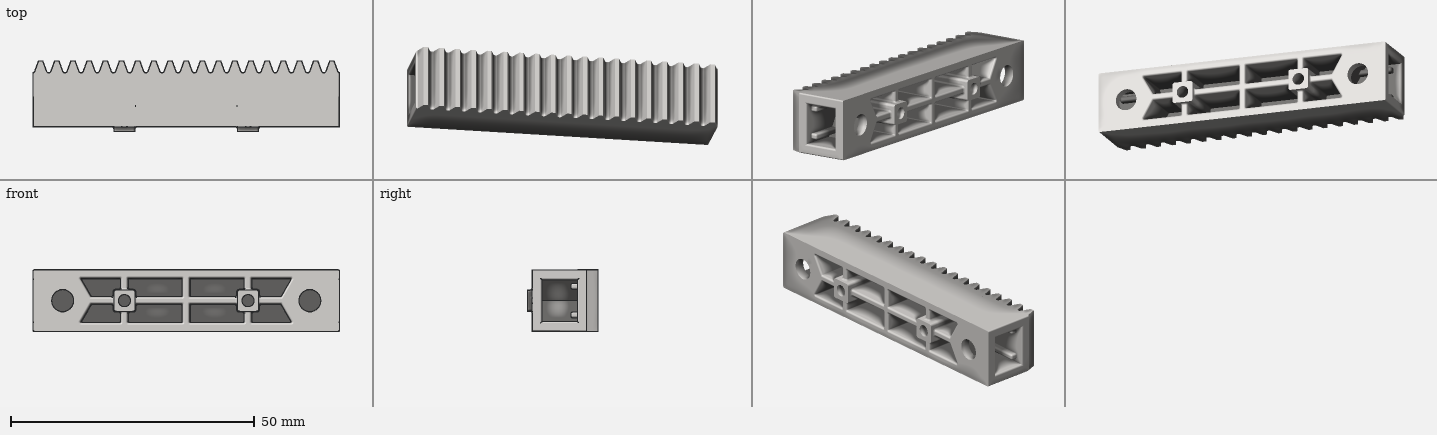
import cadquery as cq
import math

LENGTH = 63.0
HEIGHT = 12.7
BOSS_PROTRUSION = 0.95
OVERALL_DEPTH = 14.53
TOOTH_TIP_Y = OVERALL_DEPTH - BOSS_PROTRUSION
PARTING_Y = 9.7
BODY_DRAFT = 0.15
EDGE_RADIUS = 0.3

DIAMETRAL_PITCH = 24
MODULE = 25.4 / DIAMETRAL_PITCH
PITCH = math.pi * MODULE
PRESSURE_ANGLE = math.radians(20)
TOOTH_COUNT = 19
TOOTH_DEPTH = 2.3 * MODULE
TIP_WIDTH = PITCH / 2 - 2 * MODULE * math.tan(PRESSURE_ANGLE)
ROOT_RADIUS = 0.4
ROOT_Y = TOOTH_TIP_Y - TOOTH_DEPTH

MOUTH_RADIUS = 0.38
NEARLY_PARALLEL = 0.99
WALL = 1.71
RIB_WIDTH = 1.33
POCKET_DEPTH = 9.3
POCKET_DRAFT = 1.0
POCKET_CORNER_RADIUS = 0.2
POCKET_TOP = HEIGHT / 2 - WALL
POCKET_APEX_X = 19.2
SLANT_ANGLE = math.radians(30)
SLANT = math.tan(SLANT_ANGLE)

BOSS_X = 12.7
BOSS_SIZE = 4.36
BOSS_DRAFT = 1.0
BOSS_CORNER_RADIUS = 0.45
BOSS_HOLE_DIAMETER = 2.5
JOINT_RADIUS = 0.38
JOINT_REACH = 0.85

CAVITY_WALL = 2.09
CAVITY_BACK_Y = POCKET_DEPTH
CAVITY_HEIGHT = HEIGHT - 2 * CAVITY_WALL
SLANTED_WALL = 1.7
CAVITY_APEX_X = POCKET_APEX_X + SLANTED_WALL / math.cos(SLANT_ANGLE)
CAVITY_RIB_Z = 2.93
CAVITY_RIB_WIDTH = 1.2
CAVITY_RIB_DEPTH = 1.33
CAVITY_RIB_RADIUS = 0.4
CAVITY_RIB_START = 1.7

MOUNT_X = 25.4
MOUNT_DIAMETER = 4.5


def y_plane(y, facing=1):
    """Plane at the given Y with local x along X and its normal along +Y (1) or -Y (-1)."""
    return cq.Workplane(cq.Plane((0, y, 0), xDir=(1, 0, 0), normal=(0, facing, 0)))


def make_body():
    """Solid block: a front part that narrows toward Y = 0 and a back part with the rack teeth."""
    front = (
        y_plane(PARTING_Y, facing=-1)
        .rect(LENGTH, HEIGHT)
        .extrude(PARTING_Y, taper=BODY_DRAFT)
        .edges("not (|X or |Z)")
        .fillet(EDGE_RADIUS)
    )
    back = y_plane(PARTING_Y).rect(LENGTH, HEIGHT).extrude(TOOTH_TIP_Y - PARTING_Y)
    back = back.edges("|Y").fillet(EDGE_RADIUS)
    for i in range(TOOTH_COUNT + 1):
        back = back.cut(make_tooth_gap((i - TOOTH_COUNT / 2) * PITCH))
    return front.union(back)


def make_tooth_gap(x):
    """Space between two teeth, with rounded roots."""
    half_root = PITCH / 2 - TIP_WIDTH / 2 - TOOTH_DEPTH * math.tan(PRESSURE_ANGLE)
    half_mouth = (PITCH - TIP_WIDTH) / 2
    profile = [
        (x - half_mouth, TOOTH_TIP_Y),
        (x - half_root, ROOT_Y),
        (x + half_root, ROOT_Y),
        (x + half_mouth, TOOTH_TIP_Y),
    ]
    gap = cq.Workplane("XY").polyline(profile).close().extrude(HEIGHT, both=True)
    return gap.faces("<Y").edges("|Z").fillet(ROOT_RADIUS)


def make_pocket(points):
    """Cutter for one drafted pocket with rounded corners, sunk into the front face."""
    cutter = y_plane(0).polyline(points).close().extrude(POCKET_DEPTH, taper=POCKET_DRAFT)
    return cutter.faces("not (<Y or >Y)").edges("not #Y").fillet(POCKET_CORNER_RADIUS)


def make_pockets():
    """Eight pockets, mirrored left to right and top to bottom; the outer ones have slanted ends."""
    half_rib = RIB_WIDTH / 2
    inner = [
        (half_rib, half_rib),
        (BOSS_X - half_rib, half_rib),
        (BOSS_X - half_rib, POCKET_TOP),
        (half_rib, POCKET_TOP),
    ]
    outer = [
        (BOSS_X + half_rib, half_rib),
        (POCKET_APEX_X + half_rib * SLANT, half_rib),
        (POCKET_APEX_X + POCKET_TOP * SLANT, POCKET_TOP),
        (BOSS_X + half_rib, POCKET_TOP),
    ]
    quarter = make_pocket(inner).union(make_pocket(outer))
    half = quarter.union(quarter.mirror("XY"))
    return half.union(half.mirror("YZ"))


def make_boss(x):
    """Square post that widens from its tip down to the floor of the pockets."""
    outline = cq.Sketch().rect(BOSS_SIZE, BOSS_SIZE).vertices().fillet(BOSS_CORNER_RADIUS)
    return (
        y_plane(-BOSS_PROTRUSION)
        .center(x, 0)
        .placeSketch(outline)
        .extrude(BOSS_PROTRUSION + PARTING_Y, taper=-BOSS_DRAFT)
    )


def make_boss_hole(x):
    return (
        y_plane(-BOSS_PROTRUSION)
        .center(x, 0)
        .circle(BOSS_HOLE_DIAMETER / 2)
        .extrude(BOSS_PROTRUSION + POCKET_DEPTH)
    )


def make_cavity():
    """Cavity in the +X end; its inner end comes to a point at mid height."""
    half_height = CAVITY_HEIGHT / 2
    corner_x = CAVITY_APEX_X + half_height * SLANT
    profile = [
        (LENGTH / 2, half_height),
        (corner_x, half_height),
        (CAVITY_APEX_X, 0),
        (corner_x, -half_height),
        (LENGTH / 2, -half_height),
    ]
    cavity = y_plane(CAVITY_WALL).polyline(profile).close().extrude(CAVITY_BACK_Y - CAVITY_WALL)
    for side in (1, -1):
        cavity = cavity.cut(make_cavity_rib(side * CAVITY_RIB_Z))
    return cavity


def make_cavity_rib(z):
    """Rounded rib along X on the back wall of the cavity, ending short of the opening."""
    outer_x = LENGTH / 2 - CAVITY_RIB_START
    rib = cq.Workplane("XY").box(
        outer_x - POCKET_APEX_X, CAVITY_RIB_DEPTH, CAVITY_RIB_WIDTH, centered=(False, False, True)
    )
    rib = rib.edges("<Y or (>X and |Y)").fillet(CAVITY_RIB_RADIUS)
    return rib.translate((POCKET_APEX_X, CAVITY_BACK_Y - CAVITY_RIB_DEPTH, z))


def make_mount_hole(x):
    return y_plane(0).center(x, 0).circle(MOUNT_DIAMETER / 2).extrude(CAVITY_WALL)


def round_mouths(part, direction):
    """Round the rims of the openings in the flat faces that look along +/- the direction."""
    rims = []
    for face in part.faces().vals():
        if abs(face.normalAt().dot(direction)) > NEARLY_PARALLEL:
            for wire in face.innerWires():
                rims += wire.Edges()
    return part.newObject(rims).fillet(MOUTH_RADIUS)


def round_boss_joints(part, x):
    """Fillet the edges where the four ribs run into the boss."""
    offset = BOSS_SIZE / 2
    joints = part.newObject([])
    for dx, dz in ((offset, 0), (-offset, 0), (0, offset), (0, -offset)):
        near_corner = (x + dx - JOINT_REACH, -JOINT_REACH, dz - JOINT_REACH)
        far_corner = (x + dx + JOINT_REACH, POCKET_DEPTH - JOINT_REACH, dz + JOINT_REACH)
        joints = joints.add(part.edges(cq.selectors.BoxSelector(near_corner, far_corner)))
    return joints.fillet(JOINT_RADIUS)


cavity = make_cavity()
result = make_body().cut(make_pockets())
result = round_mouths(result, cq.Vector(0, 1, 0))
result = result.cut(cavity).cut(cavity.mirror("YZ"))
result = round_mouths(result, cq.Vector(1, 0, 0))
for side in (1, -1):
    result = result.union(make_boss(side * BOSS_X))
    result = round_boss_joints(result, side * BOSS_X)
    result = result.cut(make_boss_hole(side * BOSS_X))
    result = result.cut(make_mount_hole(side * MOUNT_X))